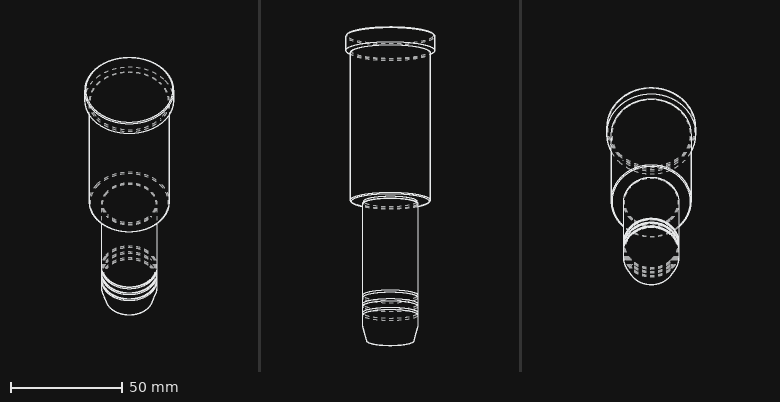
import cadquery as cq
import math

total_length = 140.0

head_diameter = 40.0
head_height = 7.0
head_chamfer = 0.5

body_diameter = 36.0
body_length = 69.0
body_chamfer = 0.5

pin_diameter = 25.0
taper_length = 7.0
taper_angle = 15.0
tip_fillet = 0.5

groove_radius = 0.5
pin_groove_count = 3
pin_groove_pitch = 4.0
first_pin_groove_top = 21.0

relief_width = 1.0
relief_depth = 0.5

head_bottom = total_length - head_height
body_bottom = head_bottom - body_length


def cylinder(diameter, bottom, top):
    """Solid cylinder on the Z axis between two heights."""
    return cq.Workplane("XY").workplane(offset=bottom).circle(diameter / 2).extrude(top - bottom)


def round_groove(diameter, top):
    """Torus that cuts a half-round groove around a cylinder, with its upper edge at top."""
    section = cq.Workplane("XZ").center(diameter / 2, top - groove_radius).circle(groove_radius)
    return section.revolve(360, (-diameter / 2, 0, 0), (-diameter / 2, 1, 0))


def square_groove(diameter, top, width, depth):
    """Ring that cuts a square groove around a cylinder, with its upper edge at top."""
    ring = cylinder(diameter, top - width, top)
    return ring.cut(cylinder(diameter - 2 * depth, top - width, top))


def make_head():
    head = cylinder(head_diameter, head_bottom, total_length)
    return head.faces(">Z").edges().chamfer(head_chamfer)


def make_body():
    body = cylinder(body_diameter, body_bottom, head_bottom)
    body = body.faces("<Z").edges().chamfer(body_chamfer)
    return body.cut(round_groove(body_diameter, head_bottom))


def make_pin():
    shank = cylinder(pin_diameter, taper_length, body_bottom)
    tip_diameter = pin_diameter - 2 * taper_length * math.tan(math.radians(taper_angle))
    taper = cq.Workplane("XY").circle(tip_diameter / 2)
    taper = taper.workplane(offset=taper_length).circle(pin_diameter / 2).loft()
    pin = shank.union(taper).faces("<Z").edges().fillet(tip_fillet)
    pin = pin.cut(square_groove(pin_diameter, body_bottom, relief_width, relief_depth))
    for index in range(pin_groove_count):
        groove_top = first_pin_groove_top - index * pin_groove_pitch
        pin = pin.cut(round_groove(pin_diameter, groove_top))
    return pin


result = make_head().union(make_body()).union(make_pin()).solids()